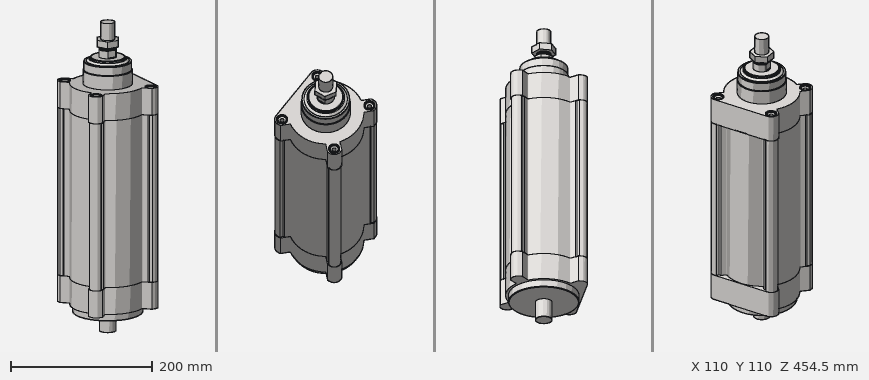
import cadquery as cq
import math

total_height = 454.5
stub_length = 28.0
flange_height = 11.0
cap_height = 39.5
tube_height = 246.0
rear_cap_bottom = stub_length + flange_height
tube_bottom = rear_cap_bottom + cap_height
tube_top = tube_bottom + tube_height
front_cap_top = tube_top + cap_height

barrel_radius = 54.0
ear_offset = 44.5
cap_half_width = 55.0
cap_ear_radius = cap_half_width - ear_offset
cap_ear_half_thickness = 10.3
cap_root_fillet = 1.0

tube_ear_offset = 45.0
tube_ear_radius = 9.5
tube_ear_half_thickness = 10.1
tube_root_fillet = 1.7
notch_outer = 41.8
notch_inner = 39.0
notch_end = 36.3

counterbore_diameter = 15.8
counterbore_depth = 1.0
seat_top_diameter = 15.0
seat_diameter = 14.1
seat_depth = 1.5
recess_diameter = 11.2
thread_start_diameter = 8.38
thread_start_depth = 2.5
core_diameter = 5.8
core_start_depth = 3.0
screw_hole_depth = 20.0

flange_diameter = 100.0
flange_chamfer = 1.0
stub_diameter = 24.0
stub_chamfer = 0.5

collar_diameter = 70.0
collar_height = 20.0
nose_diameter = 68.0
nose_height = 33.3
nose_chamfer = 0.7
cone_base_diameter = 61.2
cone_top_diameter = 53.6
cone_base_height = 33.9
cone_top_height = 36.5
ring_diameter = 50.0
ring_height = 39.4
ring_chamfer = 1.0

rod_diameter = 25.0
rod_shoulder = total_height - 40.0
flats_width = 22.0
flats_height = 10.0
rod_thread_diameter = 20.0
undercut_diameter = 18.16
undercut_height = 2.5
undercut_root_chamfer = 1.0

nut_width = 30.0
nut_height = 10.0
nut_bottom = total_height - 35.0


def plane_at(height):
    return cq.Workplane("XY").workplane(offset=height)


def revolve_about_z(points):
    """Turn a closed outline of (radius, height) points about the Z axis."""
    return cq.Workplane("XZ").polyline(points).close().revolve(360, (0, 0, 0), (0, 1, 0))


def flank_shift(half_thickness):
    """Distance along X or Y between an ear's diagonal and its flank."""
    return half_thickness * math.sqrt(2)


def barrel_with_ears(ear, half_thickness, bottom, height, root_fillet):
    """Join four turned copies of an ear to the barrel and round the eight inner corners."""
    body = plane_at(bottom).circle(barrel_radius).extrude(height)
    for quarter in range(4):
        body = body.union(ear.rotate((0, 0, 0), (0, 0, 1), 90 * quarter))
    reach = math.sqrt(barrel_radius**2 - half_thickness**2)
    near = (reach - half_thickness) / math.sqrt(2)
    far = (reach + half_thickness) / math.sqrt(2)
    for corner_x, corner_y in ((near, far), (far, near)):
        for side_x in (-1, 1):
            for side_y in (-1, 1):
                corner = (side_x * corner_x, side_y * corner_y, bottom + height / 2)
                root = cq.selectors.NearestToPointSelector(corner)
                body = body.edges(root).fillet(root_fillet)
    return body


def make_cap_block(bottom):
    """Block shared by both caps: barrel and ears, filled out to a flat pad on the +Y side."""
    shift = flank_shift(cap_ear_half_thickness)
    flank_end = cap_half_width - shift
    ear = (
        plane_at(bottom)
        .moveTo(0, 0)
        .lineTo(0, -shift)
        .lineTo(flank_end, -cap_half_width)
        .lineTo(ear_offset, -cap_half_width)
        .radiusArc((cap_half_width, -ear_offset), -cap_ear_radius)
        .lineTo(cap_half_width, -flank_end)
        .lineTo(shift, 0)
        .close()
        .extrude(cap_height)
    )
    block = barrel_with_ears(ear, cap_ear_half_thickness, bottom, cap_height, cap_root_fillet)
    pad = (
        plane_at(bottom)
        .rect(2 * ear_offset, cap_half_width, centered=(True, False))
        .extrude(cap_height)
    )
    return block.union(pad)


def make_collar():
    """Stepped bearing collar, coned at the top and carrying a small ring."""
    collar_radius = collar_diameter / 2
    nose_radius = nose_diameter / 2
    ring_radius = ring_diameter / 2
    collar_chamfer = collar_radius - nose_radius
    collar = revolve_about_z([
        (0, 0),
        (collar_radius, 0),
        (collar_radius, collar_height),
        (nose_radius, collar_height + collar_chamfer),
        (nose_radius, nose_height - nose_chamfer),
        (nose_radius - nose_chamfer, nose_height),
        (cone_base_diameter / 2, nose_height),
        (cone_base_diameter / 2, cone_base_height),
        (cone_top_diameter / 2, cone_top_height),
        (ring_radius, cone_top_height),
        (ring_radius, ring_height - ring_chamfer),
        (ring_radius - ring_chamfer, ring_height),
        (0, ring_height),
    ])
    return collar.translate((0, 0, front_cap_top))


def make_screw_hole():
    """Solid to cut for one screw hole, opening at the front cap's face."""
    hole = revolve_about_z([
        (0, 0),
        (counterbore_diameter / 2, 0),
        (counterbore_diameter / 2, -counterbore_depth),
        (seat_top_diameter / 2, -counterbore_depth),
        (seat_diameter / 2, -seat_depth),
        (recess_diameter / 2, -seat_depth),
        (thread_start_diameter / 2, -thread_start_depth),
        (core_diameter / 2, -core_start_depth),
        (core_diameter / 2, -screw_hole_depth),
        (0, -screw_hole_depth),
    ])
    return hole.translate((0, 0, front_cap_top))


def make_front_cap():
    cap = make_cap_block(tube_top).union(make_collar())
    screw_hole = make_screw_hole()
    for side_x in (-1, 1):
        for side_y in (-1, 1):
            cap = cap.cut(screw_hole.translate((side_x * ear_offset, side_y * ear_offset, 0)))
    rod_bore = plane_at(tube_top).circle(rod_diameter / 2).extrude(cap_height + ring_height)
    return cap.cut(rod_bore)


def make_tube():
    shift = flank_shift(tube_ear_half_thickness)
    notch_floor = notch_end + shift
    notch_rim_rise = math.sqrt(tube_ear_radius**2 - (tube_ear_offset - notch_outer) ** 2)
    notch_rim = tube_ear_offset + notch_rim_rise
    ear_tip = tube_ear_offset + tube_ear_radius / math.sqrt(2)
    ear = (
        plane_at(tube_bottom)
        .moveTo(0, 0)
        .lineTo(0, -shift)
        .lineTo(notch_end, -notch_floor)
        .lineTo(notch_inner, -notch_floor)
        .lineTo(notch_outer, -notch_rim)
        .threePointArc((ear_tip, -ear_tip), (notch_rim, -notch_outer))
        .lineTo(notch_floor, -notch_inner)
        .lineTo(notch_floor, -notch_end)
        .lineTo(shift, 0)
        .close()
        .extrude(tube_height)
    )
    return barrel_with_ears(ear, tube_ear_half_thickness, tube_bottom, tube_height, tube_root_fillet)


def make_rear_cap():
    flange = plane_at(stub_length).circle(flange_diameter / 2).extrude(flange_height)
    flange = flange.faces("<Z").chamfer(flange_chamfer)
    stub = plane_at(0).circle(stub_diameter / 2).extrude(stub_length)
    stub = stub.faces("<Z").chamfer(stub_chamfer)
    return make_cap_block(rear_cap_bottom).union(flange).union(stub)


def make_rod():
    """Rod seated on the tube's end, with an undercut below its threaded tip and two flats facing X."""
    rod_radius = rod_diameter / 2
    undercut_radius = undercut_diameter / 2
    thread_radius = rod_thread_diameter / 2
    undercut_top = rod_shoulder + undercut_height
    rod = revolve_about_z([
        (0, tube_top),
        (rod_radius, tube_top),
        (rod_radius, rod_shoulder),
        (undercut_radius + undercut_root_chamfer, rod_shoulder),
        (undercut_radius, rod_shoulder + undercut_root_chamfer),
        (undercut_radius, undercut_top),
        (thread_radius, undercut_top + thread_radius - undercut_radius),
        (thread_radius, total_height),
        (0, total_height),
    ])
    flat_cutter = cq.Workplane("XY").box(rod_diameter, rod_diameter, flats_height)
    cutter_x = (flats_width + rod_diameter) / 2
    cutter_z = rod_shoulder - flats_height / 2
    for side in (-1, 1):
        rod = rod.cut(flat_cutter.translate((side * cutter_x, 0, cutter_z)))
    return rod


def make_nut():
    """Hexagon nut with two of its flats facing X."""
    corner_diameter = nut_width / math.cos(math.pi / 6)
    hexagon = plane_at(nut_bottom).polygon(6, corner_diameter).extrude(nut_height)
    bore = plane_at(nut_bottom).circle(rod_thread_diameter / 2).extrude(nut_height)
    return hexagon.rotate((0, 0, 0), (0, 0, 1), 30).cut(bore)


front_cap = make_front_cap()
tube = make_tube()
rear_cap = make_rear_cap()
rod = make_rod()
nut = make_nut()

result = cq.Compound.makeCompound([
    front_cap.solids().val(),
    tube.solids().val(),
    rear_cap.solids().val(),
    rod.solids().val(),
    nut.solids().val(),
])